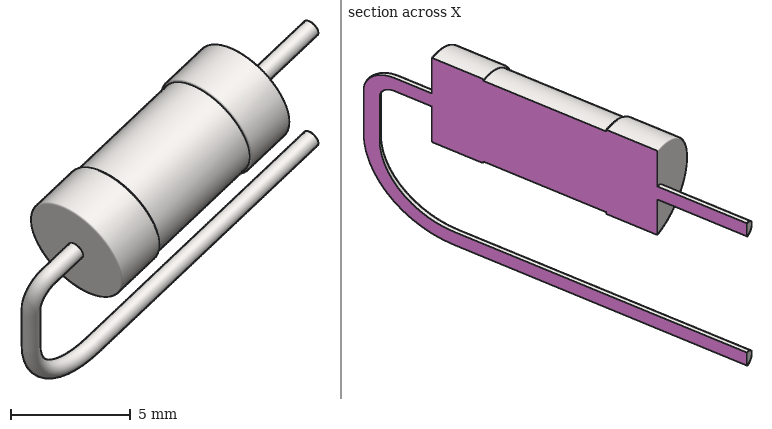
import cadquery as cq

total_length = 18.6
cap_diameter = 5.0
cap_length = 2.51
cap_edge_radius = 0.07
sleeve_diameter = 4.8
body_length = 10.95

lead_diameter = 0.8
lead_drop = 7.63
upper_bend_radius = 1.12
lower_bend_radius = 4.0
front_overhang = 3.31

half_body = body_length / 2
fold_outer_y = -half_body - front_overhang
fold_axis_y = fold_outer_y + lead_diameter / 2
lead_end_y = fold_outer_y + total_length


def cylinder_along_y(diameter, start_y, length):
    """Solid cylinder on the body axis, growing toward +Y."""
    plane = cq.Workplane("XZ", origin=(0, start_y, 0))
    return plane.circle(diameter / 2).extrude(-length)


def make_cap(start_y):
    """End cap with both rims rounded."""
    return cylinder_along_y(cap_diameter, start_y, cap_length).edges().fillet(cap_edge_radius)


def make_lead():
    """Round wire swept through the body and around the two bends."""
    path = (
        cq.Workplane("YZ")
        .moveTo(lead_end_y, 0)
        .lineTo(fold_axis_y + upper_bend_radius, 0)
        .tangentArcPoint((fold_axis_y, -upper_bend_radius), relative=False)
        .lineTo(fold_axis_y, lower_bend_radius - lead_drop)
        .tangentArcPoint((fold_axis_y + lower_bend_radius, -lead_drop), relative=False)
        .lineTo(lead_end_y, -lead_drop)
    )
    profile = cq.Workplane("XZ", origin=(0, lead_end_y, 0)).circle(lead_diameter / 2)
    return profile.sweep(path)


sleeve_length = body_length - cap_length
sleeve = cylinder_along_y(sleeve_diameter, -sleeve_length / 2, sleeve_length)
front_cap = make_cap(-half_body)
rear_cap = make_cap(half_body - cap_length)

result = sleeve.union(front_cap).union(rear_cap).union(make_lead())